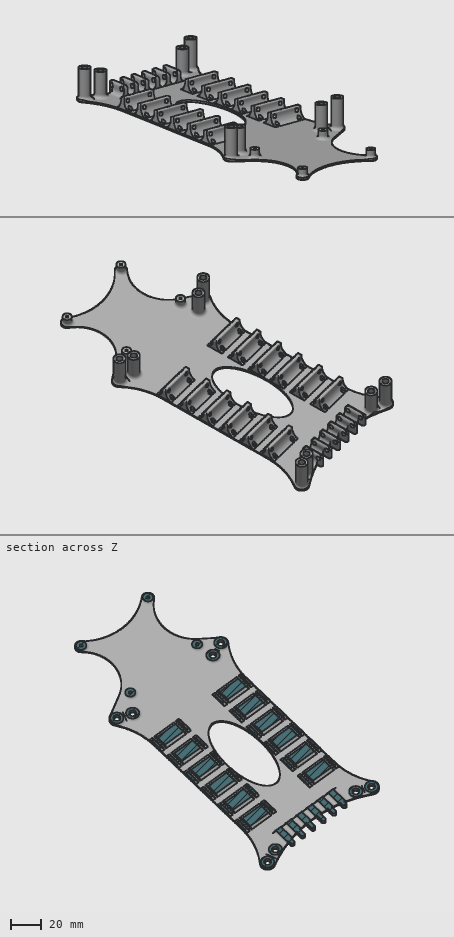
import cadquery as cq
import math

plate_thickness = 1.5
plate_chamfer = 0.7
mid_x = 80.0
waist_half_width = 40.0
pad_radius = 5.0
pad_dx = 75.0
pad_y = 45.0
waist_radius = 48.7
front_hollow_x = 11.5
tip_radius = 4.1
tip_x = 213.4
upper_tip_y = 25.2
lower_tip_y = -32.6
tail_hollow_radius = 40.2
upper_bay_x, upper_bay_radius = 190.5, 25.7
lower_bay_x, lower_bay_radius = 189.5, 27.0
window_half_length = 31.3

post_diameter = 8.0
post_hole_diameter = 4.4
tall_post_height = 23.0
short_post_height = 19.8
short_post_dx = 71.1
short_post_y = 34.8
small_post_diameter = 6.0
small_post_hole_diameter = 1.7
small_post_height = 7.5
small_post_x = 164.5
post_foot_radius = 2.6

rib_count = 6
rib_pitch = 17.0
rib_thickness = 3.0
rib_length = 25.2
rib_setback = 0.2
rib_center_y = waist_half_width - rib_setback - rib_length / 2
rib_height = 10.0
rib_edge_radius = 0.9
cell_depth = 0.5
cell_radius = (rib_pitch - rib_thickness) / 2
cell_z = plate_thickness - cell_depth + cell_radius
tie_hole_diameter = 2.6
tie_hole_inset = 3.3
rib_hole_heights = (2.6, 7.5)

tab_count = 6
tab_thickness = 3.0
tab_foot_radius = 3.3
tab_row_span = 45.2
tab_pitch = tab_row_span / (tab_count - 1)
tab_front_x = 4.8
tab_back_x = 20.2
tab_height = 10.0
tab_crest_radius = 3.0
tab_nose_radius = 1.3
tab_hole_diameter = 3.0
tab_hole_inset = 2.6
tab_hole_z = 6.7


def polar(center, radius, angle):
    """Point on a circle at an angle in radians."""
    return (center[0] + radius * math.cos(angle), center[1] + radius * math.sin(angle))


def touch_point(center, radius, other_center, other_radius):
    """Point where two circles that touch from outside meet."""
    share = radius / (radius + other_radius)
    return (
        center[0] + share * (other_center[0] - center[0]),
        center[1] + share * (other_center[1] - center[1]),
    )


def cross_tangent(center, radius, other_center, other_radius, side):
    """Ends of the line that touches two circles on opposite sides."""
    dx = other_center[0] - center[0]
    dy = other_center[1] - center[1]
    angle = math.atan2(dy, dx) + side * math.acos((radius + other_radius) / math.hypot(dx, dy))
    return polar(center, radius, angle), polar(other_center, other_radius, angle + math.pi)


def arc_to(path, center, start, end, turn):
    """Add an arc about center; turn is 1 for anticlockwise and -1 for clockwise."""
    first = math.atan2(start[1] - center[1], start[0] - center[0])
    last = math.atan2(end[1] - center[1], end[0] - center[0])
    sweep = (turn * (last - first)) % (2 * math.pi)
    radius = math.hypot(start[0] - center[0], start[1] - center[1])
    return path.threePointArc(polar(center, radius, first + turn * sweep / 2), end)


def waist_center(pad):
    """Centre of the hollow that touches a corner pad and the straight side."""
    side = math.copysign(1, pad[1])
    height = waist_half_width + waist_radius
    reach = math.sqrt((waist_radius + pad_radius) ** 2 - (height - pad_y) ** 2)
    toward_middle = math.copysign(1, mid_x - pad[0])
    return (pad[0] + toward_middle * reach, side * height)


def bay_center(x, radius, tip, side):
    """Centre of a side bay that touches a tail tip."""
    reach = math.sqrt((radius + tip_radius) ** 2 - (tip[0] - x) ** 2)
    return (x, tip[1] + side * reach)


def plate_blank(height):
    """Plate outline with a bevelled lower edge, raised to any height."""
    front_x, rear_x = mid_x - pad_dx, mid_x + pad_dx
    front_low, front_high = (front_x, -pad_y), (front_x, pad_y)
    rear_low, rear_high = (rear_x, -pad_y), (rear_x, pad_y)
    tip_low, tip_high = (tip_x, lower_tip_y), (tip_x, upper_tip_y)
    waists = {pad: waist_center(pad) for pad in (front_low, front_high, rear_low, rear_high)}
    waist_touch = {pad: touch_point(pad, pad_radius, waists[pad], waist_radius) for pad in waists}

    bay_low = bay_center(lower_bay_x, lower_bay_radius, tip_low, -1)
    bay_high = bay_center(upper_bay_x, upper_bay_radius, tip_high, 1)
    low_line = cross_tangent(rear_low, pad_radius, bay_low, lower_bay_radius, -1)
    high_line = cross_tangent(rear_high, pad_radius, bay_high, upper_bay_radius, 1)
    low_bay_end = touch_point(tip_low, tip_radius, bay_low, lower_bay_radius)
    high_bay_end = touch_point(tip_high, tip_radius, bay_high, upper_bay_radius)

    tip_mid_y = (lower_tip_y + upper_tip_y) / 2
    tail_reach = math.sqrt((tail_hollow_radius + tip_radius) ** 2 - (upper_tip_y - tip_mid_y) ** 2)
    tail = (tip_x + tail_reach, tip_mid_y)
    tail_low = touch_point(tip_low, tip_radius, tail, tail_hollow_radius)
    tail_high = touch_point(tip_high, tip_radius, tail, tail_hollow_radius)

    inset = front_hollow_x - front_x
    front_radius = (inset**2 + pad_y**2 - pad_radius**2) / (2 * (inset + pad_radius))
    front = (front_hollow_x - front_radius, 0)
    hollow_low = touch_point(front_low, pad_radius, front, front_radius)
    hollow_high = touch_point(front_high, pad_radius, front, front_radius)

    side_start = (waists[front_low][0], -waist_half_width)
    side_end = (waists[rear_low][0], -waist_half_width)
    top_start = (side_end[0], waist_half_width)
    top_end = (side_start[0], waist_half_width)

    path = cq.Workplane("XY").moveTo(*side_start).lineTo(*side_end)
    path = arc_to(path, waists[rear_low], side_end, waist_touch[rear_low], -1)
    path = arc_to(path, rear_low, waist_touch[rear_low], low_line[0], 1)
    path = path.lineTo(*low_line[1])
    path = arc_to(path, bay_low, low_line[1], low_bay_end, -1)
    path = arc_to(path, tip_low, low_bay_end, tail_low, 1)
    path = arc_to(path, tail, tail_low, tail_high, -1)
    path = arc_to(path, tip_high, tail_high, high_bay_end, 1)
    path = arc_to(path, bay_high, high_bay_end, high_line[1], -1)
    path = path.lineTo(*high_line[0])
    path = arc_to(path, rear_high, high_line[0], waist_touch[rear_high], 1)
    path = arc_to(path, waists[rear_high], waist_touch[rear_high], top_start, -1)
    path = path.lineTo(*top_end)
    path = arc_to(path, waists[front_high], top_end, waist_touch[front_high], -1)
    path = arc_to(path, front_high, waist_touch[front_high], hollow_high, 1)
    path = arc_to(path, front, hollow_high, hollow_low, -1)
    path = arc_to(path, front_low, hollow_low, waist_touch[front_low], 1)
    path = arc_to(path, waists[front_low], waist_touch[front_low], side_start, -1)
    return path.close().extrude(height).faces("<Z").chamfer(plate_chamfer)


def window():
    """Oval opening that just reaches the inner ends of the ribs."""
    half_width = waist_half_width - rib_setback - rib_length
    return cq.Workplane("XY").center(mid_x, 0).ellipse(window_half_length, half_width).extrude(plate_thickness)


def post(center, diameter, height):
    """Round post with a concave flared foot on the plate."""
    radius = diameter / 2
    foot = radius + post_foot_radius
    flare_top = plate_thickness + post_foot_radius
    bend = post_foot_radius * (1 - math.sqrt(0.5))
    return (
        cq.Workplane("XZ")
        .lineTo(foot, 0)
        .lineTo(foot, plate_thickness)
        .threePointArc((radius + bend, plate_thickness + bend), (radius, flare_top))
        .lineTo(radius, height)
        .lineTo(0, height)
        .close()
        .revolve(360, (0, 0, 0), (0, 1, 0))
        .translate((center[0], center[1], 0))
    )


def rib(x, y):
    """Wall between two cells, hollowed on both sides and rooted above the plate bevel."""
    half = rib_thickness / 2
    drop = cell_z - plate_thickness
    foot = rib_pitch / 2 - math.sqrt(cell_radius**2 - drop**2)
    mid_angle = math.pi + math.asin(drop / cell_radius) / 2
    mid = polar((rib_pitch / 2, cell_z), cell_radius, mid_angle)
    wall = (
        cq.Workplane("XZ")
        .moveTo(-foot, plate_chamfer)
        .lineTo(foot, plate_chamfer)
        .lineTo(foot, plate_thickness)
        .threePointArc(mid, (half, cell_z))
        .lineTo(half, rib_height)
        .lineTo(-half, rib_height)
        .lineTo(-half, cell_z)
        .threePointArc((-mid[0], mid[1]), (-foot, plate_thickness))
        .close()
        .extrude(rib_length / 2, both=True)
        .faces(">Z")
        .edges()
        .fillet(rib_edge_radius)
    )
    hole_y = rib_length / 2 - tie_hole_inset
    holes = (
        cq.Workplane("YZ")
        .pushPoints([(side * hole_y, z) for side in (-1, 1) for z in rib_hole_heights])
        .circle(tie_hole_diameter / 2)
        .extrude(foot, both=True)
    )
    return wall.cut(holes).translate((x, y, 0))


def tab_body():
    """Upright comb tab on y = 0 with a ridged crest and rounded ends."""
    half = tab_thickness / 2
    length = tab_back_x - tab_front_x
    rise = math.sqrt(tab_crest_radius**2 - (tab_crest_radius - half) ** 2)
    spring_z = tab_height - rise
    arc_angle = math.asin(rise / tab_crest_radius) / 2
    arc_y, arc_z = polar((half - tab_crest_radius, spring_z), tab_crest_radius, arc_angle)
    crest = (
        cq.Workplane("YZ", origin=(tab_front_x, 0, 0))
        .moveTo(-half, 0)
        .lineTo(half, 0)
        .lineTo(half, spring_z)
        .threePointArc((arc_y, arc_z), (0, tab_height))
        .threePointArc((-arc_y, arc_z), (-half, spring_z))
        .close()
        .extrude(length)
    )
    middle_x = (tab_front_x + tab_back_x) / 2
    rounded = (
        cq.Workplane("XY")
        .box(length, tab_thickness, tab_height, centered=(True, True, False))
        .edges("|Y and >Z")
        .fillet(tab_crest_radius)
        .translate((middle_x, 0, 0))
    )
    nosed = (
        cq.Workplane("XY")
        .box(length, tab_thickness, tab_height, centered=(True, True, False))
        .edges("|Z and <X")
        .fillet(tab_nose_radius)
        .translate((middle_x, 0, 0))
    )
    return crest.intersect(rounded).intersect(nosed)


def tab_foot():
    """Concave flare on both sides of a tab, before trimming to the plate edge."""
    half = tab_thickness / 2
    top = plate_thickness + tab_foot_radius
    bend = tab_foot_radius * (1 - math.sqrt(0.5))
    reach = half + tab_foot_radius
    return (
        cq.Workplane("YZ", origin=(tab_front_x, 0, 0))
        .moveTo(-reach, 0)
        .lineTo(reach, 0)
        .lineTo(reach, plate_thickness)
        .threePointArc((half + bend, plate_thickness + bend), (half, top))
        .lineTo(-half, top)
        .threePointArc((-half - bend, plate_thickness + bend), (-reach, plate_thickness))
        .close()
        .extrude(tab_back_x - tab_front_x)
    )


def tab_holes(span):
    """Two long pins that bore every tab near its front and back."""
    hole_xs = (tab_front_x + tab_hole_inset, tab_back_x - tab_hole_inset)
    return (
        cq.Workplane("XZ")
        .pushPoints([(x, tab_hole_z) for x in hole_xs])
        .circle(tab_hole_diameter / 2)
        .extrude(span / 2, both=True)
    )


tall_posts = [(mid_x + sx * pad_dx, sy * pad_y) for sx in (-1, 1) for sy in (-1, 1)]
short_posts = [(mid_x + sx * short_post_dx, sy * short_post_y) for sx in (-1, 1) for sy in (-1, 1)]
small_posts = [(x, y) for x in (small_post_x, tip_x) for y in (lower_tip_y, upper_tip_y)]
rib_spots = [
    (mid_x + (i - (rib_count - 1) / 2) * rib_pitch, side * rib_center_y)
    for i in range(rib_count)
    for side in (-1, 1)
]
tab_offsets = [(i - (tab_count - 1) / 2) * tab_pitch for i in range(tab_count)]

standing = post(tall_posts[0], post_diameter, tall_post_height)
for spot in tall_posts[1:]:
    standing = standing.union(post(spot, post_diameter, tall_post_height))
for spot in short_posts:
    standing = standing.union(post(spot, post_diameter, short_post_height))
for spot in small_posts:
    standing = standing.union(post(spot, small_post_diameter, small_post_height))
for y in tab_offsets:
    standing = standing.union(tab_foot().translate((0, y, 0)))
standing = standing.intersect(plate_blank(tall_post_height))

result = plate_blank(plate_thickness).cut(window()).union(standing)
for x, y in rib_spots:
    result = result.union(rib(x, y))
for y in tab_offsets:
    result = result.union(tab_body().translate((0, y, 0)))
result = result.cut(tab_holes(tab_count * tab_pitch))

bores = cq.Workplane("XY").pushPoints(tall_posts + short_posts).circle(post_hole_diameter / 2)
result = result.cut(bores.extrude(tall_post_height))
small_bores = cq.Workplane("XY").pushPoints(small_posts).circle(small_post_hole_diameter / 2)
result = result.cut(small_bores.extrude(small_post_height))